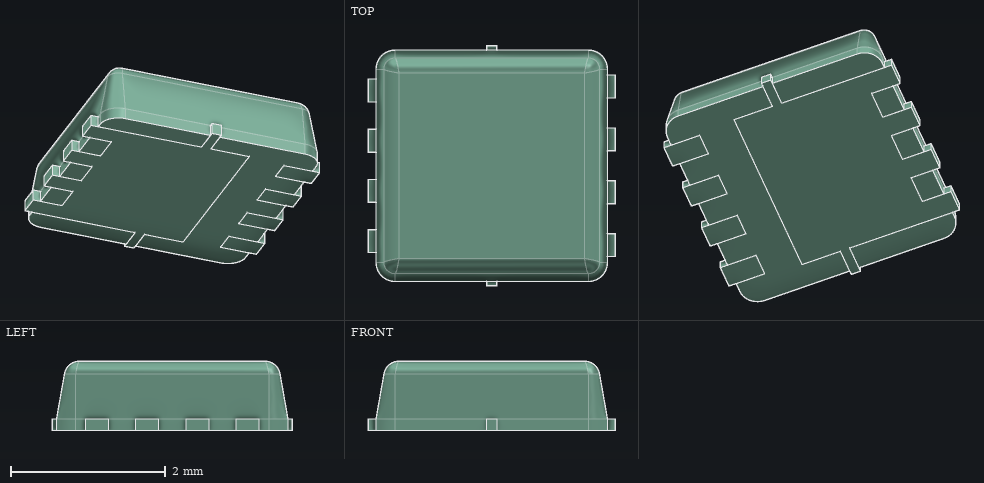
import cadquery as cq

body_size = 3.0
body_height = 0.9
body_corner_radius = 0.25
base_height = 0.15
draft_angle = 10
top_edge_radius = 0.2

metal_thickness = base_height
lead_width = 0.3
leads_per_side = 4
lead_tip_span = 3.2
lead_tip_x = lead_tip_span / 2
pin_pitch = 0.65
pin_length = 0.5

drain_lead_pitch = 0.685
pad_left_x = -0.6
pad_right_x = 1.2
pad_width = (leads_per_side - 1) * drain_lead_pitch + lead_width
tab_width = 0.13
tab_tip_span = 3.11


def metal_strip(x_start, x_end, y_center, width):
    """Flat rectangular piece of metal standing on Z = 0."""
    return (
        cq.Workplane("XY")
        .center((x_start + x_end) / 2, y_center)
        .rect(x_end - x_start, width)
        .extrude(metal_thickness)
    )


def row_positions(pitch):
    """Y centres of one row of leads, centred on the part."""
    return [(i - (leads_per_side - 1) / 2) * pitch for i in range(leads_per_side)]


def make_pins():
    """Four separate pins along the -X side."""
    pins = []
    for y in row_positions(pin_pitch):
        pins.append(metal_strip(-lead_tip_x, -lead_tip_x + pin_length, y, lead_width))
    return pins


def make_drain_pad():
    """One plate with four leads on the +X side and a tab at each Y end."""
    pad = metal_strip(pad_left_x, pad_right_x, 0, pad_width)
    for y in row_positions(drain_lead_pitch):
        pad = pad.union(metal_strip(pad_right_x, lead_tip_x, y, lead_width))
    tabs = metal_strip(-tab_width / 2, tab_width / 2, 0, tab_tip_span)
    return pad.union(tabs)


def make_housing(embedded_metal):
    """Rounded square base, tapered walls and rounded top, with pockets for the metal."""
    outline = cq.Sketch().rect(body_size, body_size).vertices().fillet(body_corner_radius)
    base = cq.Workplane("XY").placeSketch(outline).extrude(base_height)
    cover = (
        cq.Workplane("XY", origin=(0, 0, base_height))
        .placeSketch(outline)
        .extrude(body_height - base_height, taper=draft_angle)
        .faces(">Z")
        .edges()
        .fillet(top_edge_radius)
    )
    housing = base.union(cover)
    for piece in embedded_metal:
        housing = housing.cut(piece)
    return housing


pins = make_pins()
drain_pad = make_drain_pad()
housing = make_housing([*pins, drain_pad])

result = cq.Compound.makeCompound([housing.val(), drain_pad.val(), *[pin.val() for pin in pins]])